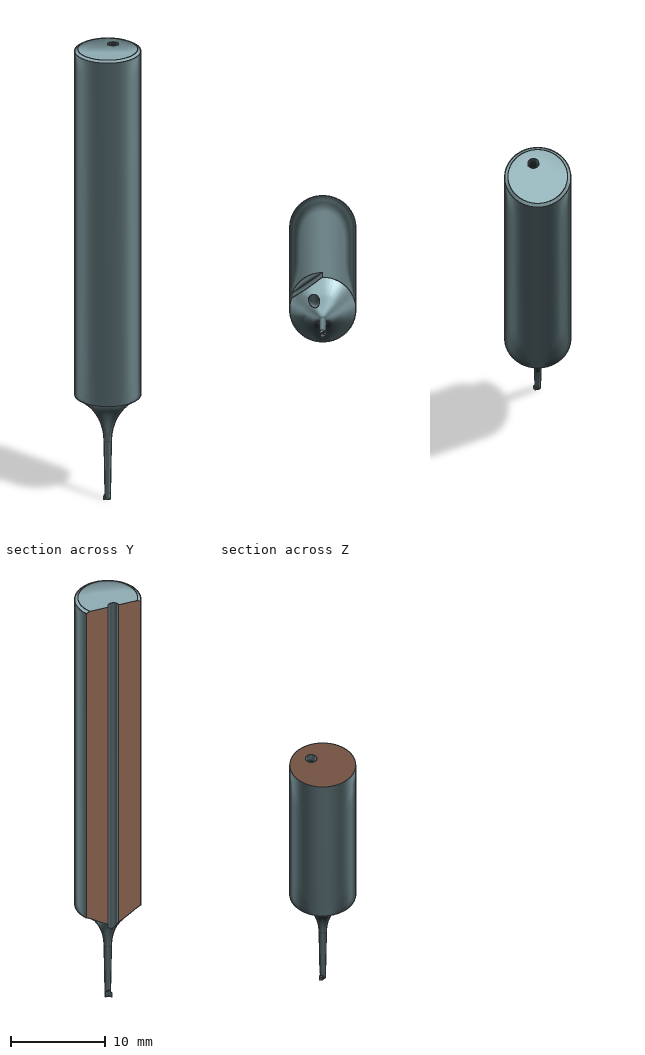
import cadquery as cq
import math

total_length = 51.3
shank_radius = 3.5

chamfer_inset = 0.35
chamfer_height = 0.2

neck_radius = 0.4
neck_top = 6.8
flare_radius = 6.0
flare_center_offset = flare_radius + neck_radius - shank_radius
shank_bottom = neck_top + math.sqrt(flare_radius**2 - flare_center_offset**2)

stem_radius = 0.29
stem_bottom = 0.2

tooth_reach = 0.45
tooth_top = 0.7
tooth_shoulder = 0.5
tooth_thickness = 0.35
tooth_clearance_angle = 15

rake_y = 0.1
rake_flat_top = 0.85
rake_runout_top = 1.25

flat_y = 2.9
flat_top = 14.3

hole_diameter = 1.15
hole_y = 1.6


def turned_body():
    """Shank, flare and tapered stem as one revolved profile."""
    mid_angle = math.asin((shank_bottom - neck_top) / flare_radius) / 2
    flare_mid = (
        neck_radius + flare_radius * (1 - math.cos(mid_angle)),
        neck_top + flare_radius * math.sin(mid_angle),
    )
    return (
        cq.Workplane("XZ")
        .moveTo(0, stem_bottom)
        .lineTo(stem_radius, stem_bottom)
        .lineTo(neck_radius, neck_top)
        .threePointArc(flare_mid, (shank_radius, shank_bottom))
        .lineTo(shank_radius, total_length - chamfer_height)
        .lineTo(shank_radius - chamfer_inset, total_length)
        .lineTo(0, total_length)
        .close()
        .revolve(360, (0, 0, 0), (0, 1, 0))
    )


def tooth():
    """Pointed tooth with its rake face in the rake plane and clearance behind it."""
    return (
        cq.Workplane("XZ", origin=(0, rake_y, 0))
        .moveTo(-tooth_reach, 0)
        .lineTo(0, stem_bottom)
        .lineTo(0, tooth_top)
        .lineTo(-stem_radius, tooth_top)
        .lineTo(-tooth_reach, tooth_shoulder)
        .close()
        .extrude(tooth_thickness, taper=tooth_clearance_angle)
    )


def rake_relief():
    """Cut that opens the rake face and runs out upward through the stem."""
    return (
        cq.Workplane("YZ")
        .moveTo(rake_y, 0)
        .lineTo(rake_y, rake_flat_top)
        .lineTo(neck_radius, rake_runout_top)
        .lineTo(neck_radius, 0)
        .close()
        .extrude(neck_radius, both=True)
    )


def locating_flat():
    """Block that cuts the flat below the full round shank."""
    depth = shank_radius - flat_y
    return cq.Workplane("XY", origin=(0, flat_y, 0)).box(
        2 * shank_radius, depth, flat_top, centered=(True, False, False)
    )


def coolant_hole():
    """Through hole that leaves the part in the flare."""
    return cq.Workplane("XY").center(0, hole_y).circle(hole_diameter / 2).extrude(total_length)


result = (
    turned_body()
    .cut(rake_relief())
    .union(tooth())
    .cut(locating_flat())
    .cut(coolant_hole())
)